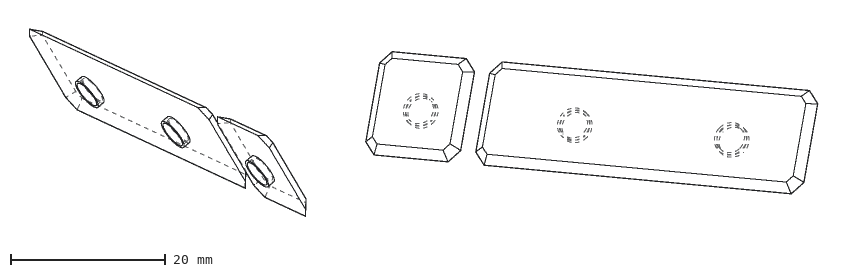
import cadquery as cq
import math

total_length = 60.0
rise = 12.0
lean = 31.0

long_plate_length = 44.95
short_plate_length = 13.0
plate_thickness = 1.2
bevel_angle = 45.0
corner_cut_x = 1.45
corner_cut_rise = 1.45

collar_outer_diameter = 4.4
collar_bore_diameter = 3.7
collar_height = 1.0
collar_centre_rise = 5.65
first_collar_x = 10.9
collar_spacing = 21.5

lean_cos = math.cos(math.radians(lean))
lean_sin = math.sin(math.radians(lean))
face_height = rise / lean_cos
corner_cut_slope = corner_cut_rise / lean_cos
collar_centre_slope = collar_centre_rise / lean_cos

short_plate_start = total_length - short_plate_length


def front_plane(start_x):
    """Plane of the front face: local Y runs up the slope, normal points out."""
    return cq.Plane(origin=(start_x, 0, 0), xDir=(1, 0, 0), normal=(0, -lean_cos, -lean_sin))


def bevelled_plate(start_x, length):
    """Octagonal plate with its front face largest and all edges bevelled."""
    outline = [
        (corner_cut_x, 0),
        (length - corner_cut_x, 0),
        (length, corner_cut_slope),
        (length, face_height - corner_cut_slope),
        (length - corner_cut_x, face_height),
        (corner_cut_x, face_height),
        (0, face_height - corner_cut_slope),
        (0, corner_cut_slope),
    ]
    sketch = cq.Workplane(front_plane(start_x)).polyline(outline).close()
    return sketch.extrude(-plate_thickness, taper=bevel_angle)


def collars(start_x, centres_x):
    """Open rings standing on the front face."""
    points = [(x, collar_centre_slope) for x in centres_x]
    return (
        cq.Workplane(front_plane(start_x))
        .pushPoints(points)
        .circle(collar_outer_diameter / 2)
        .circle(collar_bore_diameter / 2)
        .extrude(collar_height)
    )


def collared_plate(start_x, length, centres_x):
    """One plate joined with its collars."""
    return bevelled_plate(start_x, length).union(collars(start_x, centres_x))


long_plate = collared_plate(0, long_plate_length, [first_collar_x, first_collar_x + collar_spacing])
short_plate = collared_plate(short_plate_start, short_plate_length, [short_plate_length / 2])

result = cq.Compound.makeCompound([long_plate.solids().val(), short_plate.solids().val()])